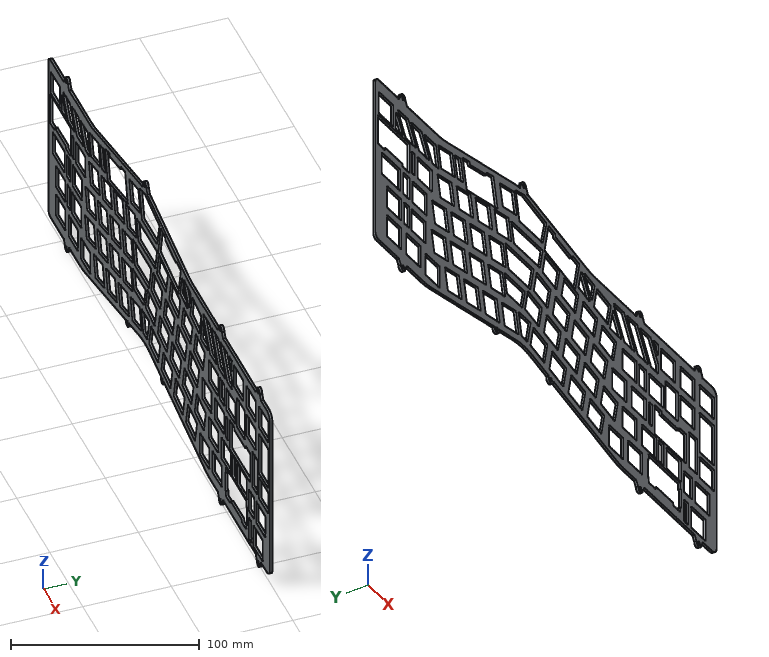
import cadquery as cq
import math

plate_length = 335.5
plate_thickness = 1.5
half_length = plate_length / 2

four_row_span = 76.2
pitch = four_row_span / 4
key_web = 5.0
key_size = pitch - key_web
tilt = 12.0
slope = math.tan(math.radians(tilt))
corner_radius = 0.5

bottom_z = -60.7
left_top_z = 44.5
right_top_z = 47.5
spine_x = -21.8
peak_z = 61.8
valley_z = -40.5
bend_radius = 40.3
left_corner_radius = 3.0
right_corner_radius = 5.0

tab_hole_diameter = 2.0
tab_tip_radius = 2.5
tab_reach = 3.0
peak_rounding = 0.7
tab_base_width = 8.0
tab_root_depth = 3.0
left_tab_x = -140.5
inner_right_tab_x = 92.5
outer_right_tab_x = 150.0
bump_offset = 26.5
bump_drop = 0.7

top_row_z = 30.0
stagger = pitch / 4
row_z = [top_row_z - pitch * row for row in range(5)]
left_edge_key_x = -157.5
right_edge_key_x = 158.0
thumb_drop = 1.7

cluster_base_z = -31.5
left_cluster_x = -35.2
right_cluster_x = -7.0

stabilizer_width = 31.0
stabilizer_height = 19.0
stabilizer_step_width = 17.0
stabilizer_step_depth = 1.7
stabilizer_shift = 1.0
space_x = 116.5
space_z = -45.0
space_ear_width = 32.5
space_ear_height = 12.0
space_ear_drop = 0.5

rib_angle = 30.0
rib_width = 2.5
rib_pitch = 13.0
rib_length = 40.3


def prism(points):
    """Plate-thick prism from (x, z) corners."""
    return cq.Workplane("XZ").polyline(points).close().extrude(plate_thickness / 2, both=True)


def disc(x, z, radius):
    """Plate-thick disc."""
    return cq.Workplane("XZ").center(x, z).circle(radius).extrude(plate_thickness / 2, both=True)


def rounded(body):
    """Round every corner that runs through the plate."""
    return body.edges("|Y").fillet(corner_radius)


def turned(body, x, z, angle):
    """Turn a body in the plate plane, then move it to (x, z)."""
    return body.rotate((0, 0, 0), (0, 1, 0), -angle).translate((x, 0, z))


def block(width, height):
    """Plate-thick rectangle centred on the origin."""
    return cq.Workplane("XY").box(width, plate_thickness, height)


def opening(x, z, width=key_size, height=key_size, angle=0.0):
    """Rectangular window with rounded corners."""
    return turned(rounded(block(width, height)), x, z, angle)


def tilted_place(column, row, side):
    """Centre of a tilted key; side is -1 for the left cluster, 1 for the right one."""
    base_x = left_cluster_x if side < 0 else right_cluster_x
    angle = math.radians(-side * tilt)
    along = column * pitch
    across = row * pitch
    x = base_x + along * math.cos(angle) - across * math.sin(angle)
    z = cluster_base_z + along * math.sin(angle) + across * math.cos(angle)
    return x, z


def stabilizer(x, z, width=stabilizer_width, angle=0.0):
    """Wide window whose far edge steps inward between the two stabilizer feet."""
    half_width = width / 2
    half_height = stabilizer_height / 2
    half_step = stabilizer_step_width / 2
    step_z = half_height - stabilizer_step_depth
    body = prism([
        (-half_width, -half_height),
        (half_width, -half_height),
        (half_width, half_height),
        (half_step, half_height),
        (half_step, step_z),
        (-half_step, step_z),
        (-half_step, half_height),
        (-half_width, half_height),
    ])
    return turned(rounded(body), x, z, angle)


def plate_outline():
    """Level ends joined by two slopes that meet on the spine, with softened bends."""
    left_rise = (peak_z - left_top_z) / slope
    right_rise = (peak_z - right_top_z) / slope
    valley_run = (valley_z - bottom_z) / slope
    body = prism([
        (-half_length, bottom_z),
        (spine_x - valley_run, bottom_z),
        (spine_x, valley_z),
        (spine_x + valley_run, bottom_z),
        (half_length, bottom_z),
        (half_length, right_top_z),
        (spine_x + right_rise, right_top_z),
        (spine_x, peak_z),
        (spine_x - left_rise, left_top_z),
        (-half_length, left_top_z),
    ])
    body = body.edges("|Y and (not <X) and (not >X)").fillet(bend_radius)
    body = body.edges("|Y and <X").fillet(left_corner_radius)
    return body.edges("|Y and >X").fillet(right_corner_radius)


def tab(x, edge_z, direction):
    """Tapered tab that stands out of the edge, upward for 1 and downward for -1."""
    tip_z = edge_z + direction * tab_reach
    root_z = edge_z - direction * tab_root_depth
    neck = prism([
        (x - tab_base_width / 2, edge_z),
        (x - tab_tip_radius, tip_z),
        (x + tab_tip_radius, tip_z),
        (x + tab_base_width / 2, edge_z),
        (x, root_z),
    ])
    return [neck, disc(x, tip_z, tab_tip_radius)]


def ribbed(window, first_rib_x, rib_z, rib_count):
    """Split a window with evenly spaced diagonal ribs."""
    for index in range(rib_count):
        rib = block(rib_width, rib_length)
        window = window.cut(turned(rib, first_rib_x + index * rib_pitch, rib_z, rib_angle))
    return rounded(window)


def straight_keys():
    """Square windows of the level rows."""
    rows = [
        (row_z[0], [left_edge_key_x]),
        (row_z[1], [-119.0, 82.2, 108.5]),
        (row_z[2], [-124.2, 72.0, 72.0 + pitch]),
        (row_z[3], [-149.5, -125.2, 82.2, 82.2 + pitch, 125.5]),
        (row_z[4], [-149.5, -149.5 + pitch, 87.5]),
        (row_z[4] - thumb_drop, [-111.5, 68.8]),
        (row_z[0] + stagger, [right_edge_key_x - pitch * column for column in range(3)]),
        (row_z[1] + stagger, [right_edge_key_x - pitch]),
        (row_z[2] - stagger, [right_edge_key_x]),
        (row_z[3] - stagger, [153.7]),
        (row_z[4] - stagger, [149.7]),
    ]
    return [opening(x, z) for z, places in rows for x in places]


def tilted_keys():
    """Square windows of both tilted clusters: side, row, first column, key count."""
    rows = [
        (-1, 4, -2.5, 1),
        (-1, 4, 0.75, 1),
        (-1, 3, -2.75, 4),
        (-1, 2, -3.25, 4),
        (-1, 1, -3.5, 4),
        (-1, 0, -3, 4),
        (1, 4, 2.5, 1),
        (1, 3, 0, 4),
        (1, 2, -0.25, 4),
        (1, 1, -0.5, 5),
        (1, 0, 0, 4),
    ]
    windows = []
    for side, row, first_column, count in rows:
        for index in range(count):
            x, z = tilted_place(first_column + index, row, side)
            windows.append(opening(x, z, angle=-side * tilt))
    return windows


def slots():
    """Rectangular windows between and beside the level keys: x, z, width, height."""
    sizes = [
        (-152.5, row_z[2], 18.0, key_size),
        (-130.5, row_z[1], 3.0, key_size),
        (-137.3, row_z[2], 6.0, key_size),
        (-137.0, row_z[3], 5.0, key_size),
        (95.0, row_z[1], 7.0, key_size),
        (102.7, row_z[2], 3.0, key_size),
        (113.0, row_z[3], 5.0, key_size),
        (123.5, 13.5, 12.0, 19.0),
        (144.5, -7.7, 8.0, 23.0),
        (right_edge_key_x, 10.0, key_size, 26.2),
        (139.5, row_z[3] - stagger, 8.0, key_size),
        (137.5, row_z[4] - stagger, 4.0, key_size),
    ]
    windows = [opening(*size) for size in sizes]
    x, z = tilted_place(-1.85, 4, -1)
    windows.append(opening(x, z, width=5.7, angle=tilt))
    return windows


def stabilizer_windows():
    """Two tilted and three level stabilizer windows."""
    windows = []
    for side, column in [(-1, -0.75), (1, 0.375)]:
        angle = math.radians(-side * tilt)
        x, z = tilted_place(column, 4, side)
        x += stabilizer_shift * math.sin(angle)
        z -= stabilizer_shift * math.cos(angle)
        windows.append(stabilizer(x, z, angle=-side * tilt))
    windows.append(stabilizer(-149.7, row_z[1] + stabilizer_shift, angle=180))
    windows.append(stabilizer(122.2, row_z[2] - stabilizer_shift))
    ears = opening(space_x, space_z - space_ear_drop, space_ear_width, space_ear_height)
    windows.append(stabilizer(space_x, space_z, angle=180).union(ears))
    return windows


def spine_windows():
    """Windows on the spine whose sides follow the tilted keys, plus the peaked one above them."""
    sizes = [
        (-18.8, 33.2, 31.0, 13.0),
        (-26.2, 15.0, 28.0, 15.0),
        (-31.0, -5.0, 20.0, 12.0),
        (-21.0, -22.0, 11.7, 14.0),
    ]
    windows = []
    for x, top_z, top_width, height in sizes:
        half_top = top_width / 2
        half_bottom = half_top - height * slope
        windows.append(rounded(prism([
            (x - half_top, top_z),
            (x + half_top, top_z),
            (x + half_bottom, top_z - height),
            (x - half_bottom, top_z - height),
        ])))
    windows.append(rounded(prism([
        (-30.0, 56.5),
        (-26.2, 38.3),
        (-3.5, 38.3),
        (0.5, 53.5),
        (spine_x, 58.5),
    ])))
    return windows


def ribbed_windows():
    """Three number-row windows split by diagonal ribs."""
    half_key = key_size / 2
    row_top = row_z[0] + half_key
    row_bottom = row_z[0] - half_key
    left = prism([
        (-147.7, row_bottom),
        (-147.7, row_top),
        (-108.5, row_top),
        (-108.5 + key_size * slope, row_bottom),
    ])
    right = prism([
        (62.8, 23.0),
        (62.8 + 19.0 * slope, 42.3),
        (110.0, 42.3),
        (110.0, 23.0),
    ])
    x, z = tilted_place(1.66, 4, 1)
    middle = turned(block(13.0, key_size), x, z, -tilt)
    return [
        ribbed(left, -143.3, row_z[0], 3),
        ribbed(middle, 40.3, 36.2, 1),
        ribbed(right, 70.5, 32.2, 4),
    ]


def edge_tabs():
    """Tabs as (x, edge height, direction)."""
    return [
        (left_tab_x, left_top_z, 1),
        (spine_x, peak_z - peak_rounding, 1),
        (inner_right_tab_x, right_top_z, 1),
        (outer_right_tab_x, right_top_z, 1),
        (left_tab_x, bottom_z, -1),
        (inner_right_tab_x, bottom_z, -1),
        (outer_right_tab_x, bottom_z, -1),
    ]


added = []
holes = []
for x, edge_z, direction in edge_tabs():
    added += tab(x, edge_z, direction)
    holes.append(disc(x, edge_z + direction * tab_reach, tab_hole_diameter / 2))
for side in (-1, 1):
    x = spine_x + side * bump_offset
    z = valley_z - bump_offset * slope - bump_drop
    added.append(disc(x, z, tab_tip_radius))
    holes.append(disc(x, z, tab_hole_diameter / 2))

windows = straight_keys() + tilted_keys() + slots()
windows += stabilizer_windows() + spine_windows() + ribbed_windows()

body = plate_outline().val().fuse(*[piece.val() for piece in added]).clean()
body = body.cut(*[piece.val() for piece in windows + holes])
result = cq.Workplane("XZ").newObject(body.Solids())